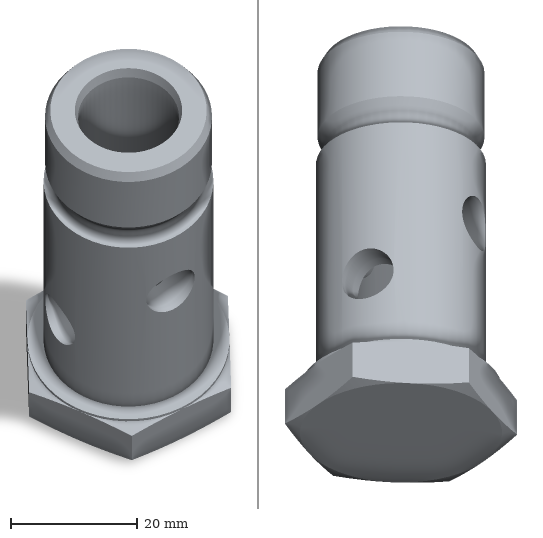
import cadquery as cq
import math

total_height = 67.0
across_flats = 32.0
across_corners = across_flats / math.cos(math.radians(30))

head_height = 8.05
bearing_diameter = across_flats
bearing_height = 0.55
corner_drop_top = 0.6
corner_drop_bottom = 0.7

shank_diameter = 26.95
shank_top = 48.9
groove_diameter = 23.9
groove_fillet = 1.0
groove_flank_angle = 30.0
thread_diameter = 26.45
thread_start = 53.8
end_chamfer_height = 1.5
end_face_diameter = 24.8

bore_diameter = 16.0
bore_mouth_diameter = 17.0
bore_mouth_depth = 1.75
bore_floor = 13.4
drill_point_angle = 118.0

cross_hole_diameter = 9.0
lower_hole_height = 22.05
upper_hole_height = 35.0


def turned(points):
    """Revolve a (radius, height) outline about the Z axis."""
    return cq.Workplane("XZ").polyline(points).close().revolve(360, (0, 0, 0), (0, 1, 0))


def make_head():
    hexagon_top = head_height - bearing_height
    hexagon = (
        cq.Workplane("XY")
        .polygon(6, across_corners)
        .extrude(hexagon_top)
        .rotate((0, 0, 0), (0, 0, 1), 30)
    )
    corner_radius = across_corners / 2
    bearing_radius = bearing_diameter / 2
    envelope = turned([
        (0, 0),
        (bearing_radius, 0),
        (corner_radius, corner_drop_bottom),
        (corner_radius, hexagon_top - corner_drop_top),
        (bearing_radius, hexagon_top),
        (0, hexagon_top),
    ])
    bearing = cq.Workplane("XY").circle(bearing_radius).extrude(head_height)
    return hexagon.intersect(envelope).union(bearing)


def make_shank():
    groove_radius = groove_diameter / 2
    thread_radius = thread_diameter / 2
    flank_angle = math.radians(groove_flank_angle)

    groove_top = thread_start - (thread_radius - groove_radius) / math.tan(flank_angle)
    blend_start = groove_top - groove_fillet * math.tan(flank_angle / 2)

    def blend_point(angle):
        return (
            groove_radius + groove_fillet * (1 - math.cos(angle)),
            blend_start + groove_fillet * math.sin(angle),
        )

    quarter_arc_inset = groove_fillet * (1 - math.cos(math.radians(45)))
    return (
        cq.Workplane("XZ")
        .lineTo(shank_diameter / 2, 0)
        .lineTo(shank_diameter / 2, shank_top)
        .lineTo(groove_radius + groove_fillet, shank_top)
        .threePointArc(
            (groove_radius + quarter_arc_inset, shank_top + quarter_arc_inset),
            (groove_radius, shank_top + groove_fillet),
        )
        .lineTo(groove_radius, blend_start)
        .threePointArc(blend_point(flank_angle / 2), blend_point(flank_angle))
        .lineTo(thread_radius, thread_start)
        .lineTo(thread_radius, total_height - end_chamfer_height)
        .lineTo(end_face_diameter / 2, total_height)
        .lineTo(0, total_height)
        .close()
        .revolve(360, (0, 0, 0), (0, 1, 0))
    )


def make_bore():
    bore_radius = bore_diameter / 2
    point_depth = bore_radius / math.tan(math.radians(drill_point_angle / 2))
    return turned([
        (0, bore_floor - point_depth),
        (bore_radius, bore_floor),
        (bore_radius, total_height - bore_mouth_depth),
        (bore_mouth_diameter / 2, total_height),
        (0, total_height),
    ])


def make_cross_hole(plane, height):
    return (
        cq.Workplane(plane)
        .center(0, height)
        .circle(cross_hole_diameter / 2)
        .extrude(shank_diameter, both=True)
    )


result = (
    make_head()
    .union(make_shank())
    .cut(make_bore())
    .cut(make_cross_hole("XZ", lower_hole_height))
    .cut(make_cross_hole("YZ", upper_hole_height))
)